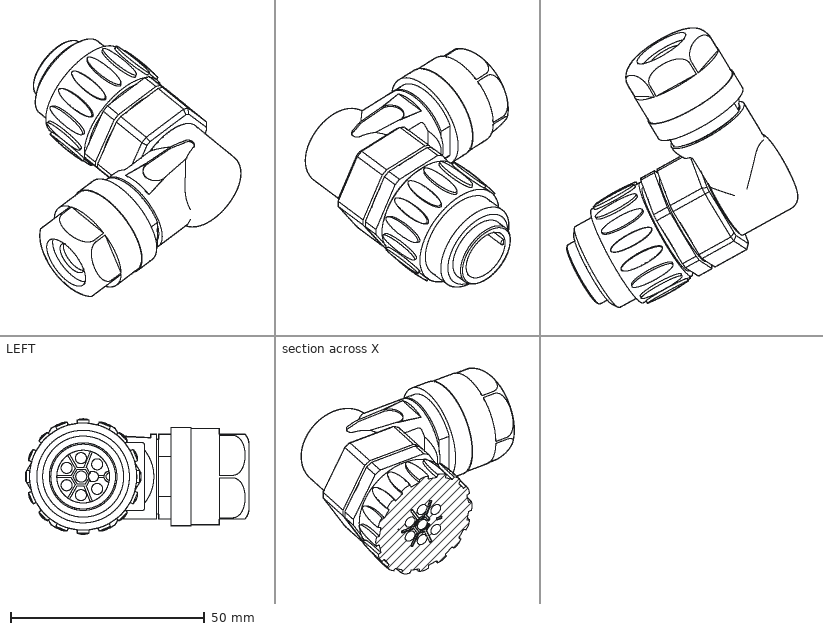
import cadquery as cq
import math


total_length = 61.05
total_width = 58.0

sleeve_end = 3.3
body_end = 10.3
collar_end = 24.85
ring_nut_start, ring_nut_end = 25.95, 30.05
rear_nut_start, rear_nut_end = 30.9, 41.5
elbow_start = 41.75

sleeve_dia = 17.5
sleeve_edge = 0.35
body_dia = 24.0
body_tip_dia = 21.0
body_chamfer = 1.1
collar_dia = 27.8
neck_dia = 24.7
link_dia = 21.0
nut_flats = 26.85
nut_corner_width = 30.0
nut_chamfer = 1.1

bore_dia = 13.7
mouth_dia = 16.7
mouth_depth = 0.3
bore_depth = 15.25
contact_dia = 2.85
contact_depth = 3.65
contact_circle_radius = 4.8
contact_pitch_angle = 55.5
side_contacts = 6
centre_offset = 0.5
groove_width = 0.55
groove_depth = 0.35
groove_angles = (-120, -68, 0, 68, 120, 180)
centre_hex_outer, centre_hex_inner = 4.75, 3.8
pad_width = 2.55
pad_reach = 4.45
pad_height = 0.25
key_dia = 1.85
key_base_dia = 2.85
key_base_height = 0.6
key_start = 0.9

grip_count = 16
grip_length = 12.2
grip_width = 3.2
grip_centre = 17.65
grip_top_radius = nut_corner_width / 2
grip_crown = 0.35
grip_root = 0.6

elbow_dia = 22.0
elbow_radius = elbow_dia / 2
gland_flange_dia = 25.5
outlet_x = total_length - gland_flange_dia / 2
elbow_end = outlet_x + elbow_radius
elbow_fillet = 3.05
arm_end = 19.05
groove_end = 19.55
outlet_neck_end = 22.7
flange_end = 27.95
flats_start = 35.3
gland_end = total_width - nut_corner_width / 2

arm_ledge = 15.9
arm_ledge_fillet = 0.8
arm_slope_start_x = 39.75
outlet_neck_flats = 19.4
gland_dia = 25.0
gland_flats = 22.0
gland_round = 4.4
gland_bore_dia = 14.5
gland_bore_depth = 2.15
cable_dia = 9.0
cable_depth = 1.15

label_tip_y = 2.45
label_shoulder_y, label_shoulder = -2.8, 2.8
label_waist_y, label_waist = -10.9, 3.35
label_bottom_y, label_bottom = -17.45, 4.4
label_tip_radius = 1.6
label_inner_bottom_y = -14.1
label_tip_z = 10.7
label_bottom_z = 10.1
label_inner_depth = 0.5
label_cut_top = elbow_radius + 0.6


def rod_x(diameter, start, end):
    """Cylinder on the plug axis."""
    return cq.Workplane("YZ", origin=(start, 0, 0)).circle(diameter / 2).extrude(end - start)


def rod_y(diameter, start, end):
    """Cylinder on the outlet axis, with distances measured toward -Y."""
    plane = cq.Workplane("XZ", origin=(outlet_x, -start, 0))
    return plane.circle(diameter / 2).extrude(end - start)


def hexagon(workplane, flats, turn, length):
    """Hexagonal prism given by its width across flats."""
    corners = flats / math.cos(math.pi / 6)
    return workplane.transformed(rotate=(0, 0, turn)).polygon(6, corners).extrude(length)


def hex_nut(start, end):
    """Hexagon with flats at +Z and -Z and with its six corners cut flat."""
    plane = cq.Workplane("YZ", origin=(start, 0, 0))
    nut = hexagon(plane, nut_flats, 0, end - start)
    return nut.intersect(hexagon(plane, nut_corner_width, 30, end - start))


def make_plug():
    """Solid plug: tip sleeve, body, coupling collar and the two hexagon nuts."""
    plug = rod_x(sleeve_dia, 0, sleeve_end).faces("<X").chamfer(sleeve_edge)
    body = rod_x(body_dia, sleeve_end, body_end)
    body = body.faces("<X").chamfer(body_chamfer, (body_dia - body_tip_dia) / 2)
    plug = plug.union(body)
    plug = plug.union(rod_x(collar_dia, body_end, collar_end))
    plug = plug.union(rod_x(neck_dia, collar_end, rear_nut_start))
    plug = plug.union(hex_nut(ring_nut_start, ring_nut_end))
    plug = plug.union(hex_nut(rear_nut_start, rear_nut_end).faces(">X").chamfer(nut_chamfer))
    return plug.union(rod_x(link_dia, rear_nut_end, elbow_start))


def make_grip():
    """One elliptical pad with a crowned top, standing at +Z."""
    half_length, half_width = grip_length / 2, grip_width / 2
    base = collar_dia / 2 - grip_root
    pad = cq.Workplane("XY", origin=(grip_centre, 0, base)).ellipse(half_length, half_width)
    pad = pad.extrude(grip_top_radius - base)
    crown_radius = (half_width**2 + grip_crown**2) / (2 * grip_crown)
    axis_z = grip_top_radius - crown_radius
    crown = (
        cq.Workplane("XZ", origin=(grip_centre, 0, axis_z))
        .moveTo(-half_length, 0)
        .lineTo(-half_length, crown_radius - grip_crown)
        .threePointArc((0, crown_radius), (half_length, crown_radius - grip_crown))
        .lineTo(half_length, 0)
        .close()
        .revolve(360, (0, 0, 0), (1, 0, 0))
    )
    return pad.intersect(crown)


def add_grips(part):
    """Ring of grip pads around the coupling collar."""
    grip = make_grip()
    for index in range(grip_count):
        part = part.union(grip.rotate((0, 0, 0), (1, 0, 0), index * 360 / grip_count))
    return part


def make_bore():
    """Blind bore with a wide shallow cone at its mouth."""
    bore = rod_x(bore_dia, 0, bore_depth)
    mouth = (
        cq.Workplane("XY")
        .polyline([(0, 0), (0, mouth_dia / 2), (mouth_depth, bore_dia / 2), (mouth_depth, 0)])
        .close()
        .revolve(360, (0, 0, 0), (1, 0, 0))
    )
    return bore.union(mouth)


def cut_insert(part):
    """Contact holes, separating grooves and a raised pad on the bore floor."""
    floor = cq.Workplane("YZ", origin=(bore_depth, 0, 0))
    centre = floor.center(centre_offset, 0)

    groove_length = bore_dia / 2 + centre_offset
    grooves = hexagon(centre, centre_hex_outer, 0, groove_depth)
    for angle in groove_angles:
        ray = centre.transformed(rotate=(0, 0, 180 + angle))
        groove = ray.center(groove_length / 2, 0).rect(groove_length, groove_width)
        grooves = grooves.union(groove.extrude(groove_depth))
    grooves = grooves.cut(hexagon(centre, centre_hex_inner, 0, groove_depth))
    part = part.cut(grooves.intersect(rod_x(bore_dia, bore_depth, bore_depth + groove_depth)))

    pad_plane = cq.Workplane("YZ", origin=(bore_depth - pad_height, 0, 0))
    pad_end_y = centre_offset - pad_reach + pad_width / 2
    hex_edge_y = centre_offset - centre_hex_outer / 2
    straight = hex_edge_y - pad_end_y
    pad = pad_plane.center(pad_end_y + straight / 2, 0).rect(straight, pad_width)
    pad = pad.extrude(pad_height + groove_depth)
    pad_end = pad_plane.center(pad_end_y, 0).circle(pad_width / 2)
    part = part.union(pad).union(pad_end.extrude(pad_height + groove_depth))

    first_angle = -contact_pitch_angle * (side_contacts - 1) / 2
    holes_at = [(centre_offset, 0)]
    for index in range(side_contacts):
        angle = math.radians(first_angle + contact_pitch_angle * index)
        y = contact_circle_radius * math.cos(angle)
        z = contact_circle_radius * math.sin(angle)
        holes_at.append((y, z))
    holes = floor.pushPoints(holes_at).circle(contact_dia / 2).extrude(contact_depth)
    return part.cut(holes)


def make_key():
    """Rounded key along the -Y side of the bore, with a wider foot on the floor."""
    plane = cq.Workplane("YZ", origin=(key_start, -bore_dia / 2, 0))
    key = plane.circle(key_dia / 2).extrude(bore_depth - key_start)
    foot = cq.Workplane("YZ", origin=(bore_depth - key_base_height, -bore_dia / 2, 0))
    return key.union(foot.circle(key_base_dia / 2).extrude(key_base_height + groove_depth))


def make_elbow():
    """Rounded elbow body and its outlet arm, cut away beside the nut."""
    elbow = rod_x(elbow_dia, elbow_start, elbow_end).faces(">X").edges().fillet(elbow_fillet)
    drop = arm_end - arm_ledge
    outline = [
        (elbow_start, 0),
        (elbow_start, -arm_ledge),
        (arm_slope_start_x, -arm_ledge),
        (arm_slope_start_x - drop, -arm_end),
        (elbow_end, -arm_end),
        (elbow_end, 0),
    ]
    envelope = cq.Workplane("XY").polyline(outline).close().extrude(elbow_radius, both=True)
    ledge_corner = cq.NearestToPointSelector((elbow_start, -arm_ledge, 0))
    envelope = envelope.edges("|Z").edges(ledge_corner).fillet(arm_ledge_fillet)
    return elbow.union(rod_y(elbow_dia, 0, arm_end).intersect(envelope))


def label_prism(lower_outline):
    """Upright prism of the label shape; only its lower part differs between the two levels."""
    tip_y = label_tip_y - label_tip_radius
    points = [(label_tip_radius, tip_y), (label_shoulder, label_shoulder_y), (label_waist, label_waist_y)]
    sketch = cq.Workplane("XY", origin=(outlet_x, 0, 0)).polyline(points)
    sketch = lower_outline(sketch)
    sketch = sketch.lineTo(-label_shoulder, label_shoulder_y).lineTo(-label_tip_radius, tip_y)
    return sketch.threePointArc((0, label_tip_y), points[0]).close().extrude(label_cut_top)


def square_bottom(sketch):
    """Straight lower edge, wider than the waist."""
    corner = (label_bottom, label_bottom_y)
    return sketch.lineTo(*corner).lineTo(-corner[0], corner[1]).lineTo(-label_waist, label_waist_y)


def round_bottom(sketch):
    """Arc from one side of the waist to the other."""
    return sketch.threePointArc((0, label_inner_bottom_y), (-label_waist, label_waist_y))


def above_label_floor(depth):
    """Space above the sloping label floor, lowered by depth."""
    outline = [
        (label_tip_y, label_cut_top),
        (label_tip_y, label_tip_z - depth),
        (label_bottom_y, label_bottom_z - depth),
        (label_bottom_y, label_cut_top),
    ]
    width = 2 * elbow_radius
    side = cq.Workplane("YZ", origin=(outlet_x - width / 2, 0, 0)).polyline(outline).close()
    return side.extrude(width)


def cut_label(part):
    """Shallow label recess with a deeper rounded field inside it."""
    part = part.cut(label_prism(square_bottom).intersect(above_label_floor(0)))
    return part.cut(label_prism(round_bottom).intersect(above_label_floor(label_inner_depth)))


def make_gland():
    """Flatted neck, flange and hexagonal cap with a rounded end and a stepped bore."""
    gland = rod_y(outlet_neck_flats, arm_end, groove_end)
    neck = rod_y(elbow_dia, groove_end, outlet_neck_end)
    neck_middle = -(groove_end + outlet_neck_end) / 2
    neck_length = outlet_neck_end - groove_end
    flats = cq.Workplane("XY").box(outlet_neck_flats, neck_length, elbow_dia)
    gland = gland.union(neck.intersect(flats.translate((outlet_x, neck_middle, 0))))
    gland = gland.union(rod_y(gland_flange_dia, outlet_neck_end, flange_end))

    cap = rod_y(gland_dia, flange_end, gland_end).faces("<Y").edges().fillet(gland_round)
    hex_plane = cq.Workplane("XZ", origin=(outlet_x, -flats_start, 0))
    grip_shape = hexagon(hex_plane, gland_flats, 0, gland_end - flats_start)
    grip_shape = grip_shape.union(rod_y(gland_dia, flange_end, flats_start))
    gland = gland.union(cap.intersect(grip_shape))

    step = gland_end - gland_bore_depth
    gland = gland.cut(rod_y(gland_bore_dia, step, gland_end))
    return gland.cut(rod_y(cable_dia, step - cable_depth, step))


plug = add_grips(make_plug())
plug = cut_insert(plug.cut(make_bore())).union(make_key())
elbow = cut_label(make_elbow())
result = plug.union(elbow).union(make_gland())